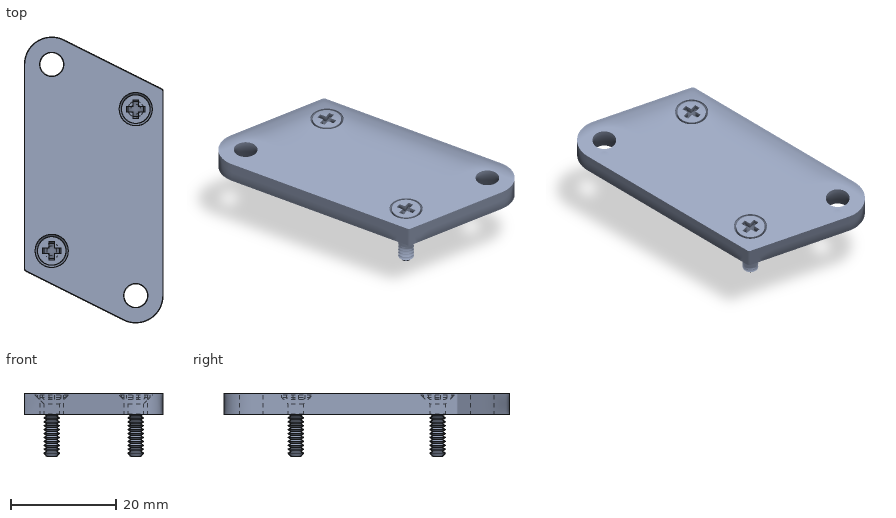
import cadquery as cq
import math

plate_length = 54.4
plate_width = 26.4
plate_thickness = 4.0
slant_slope = 0.5
corner_radius = 0.5

pattern_width = 16.0
screw_spacing = 27.0
mounting_hole_diameter = 4.5
end_radius = (plate_width - pattern_width) / 2
mounting_hole_spacing = plate_length - 2 * end_radius
mounting_points = [
    (-pattern_width / 2, mounting_hole_spacing / 2),
    (pattern_width / 2, -mounting_hole_spacing / 2),
]
screw_points = [
    (pattern_width / 2, screw_spacing / 2),
    (-pattern_width / 2, -screw_spacing / 2),
]

screw_length = 12.0
thread_diameter = 3.0
thread_radius = thread_diameter / 2
thread_root_radius = 0.9
thread_count = 10
threaded_length = 7.45
thread_pitch = threaded_length / thread_count
tip_height = 0.65

head_radius = 2.7
countersink_radius = 3.15
rim_depth = 0.3
seat_depth = rim_depth + countersink_radius - head_radius
cone_depth = rim_depth + countersink_radius - thread_radius

recess_span = 3.55
recess_arm_width = 1.05
recess_depth = 1.2
recess_end_bevel = 0.3


def make_plate_blank():
    slant = math.atan(slant_slope)
    acute_corner_y = mounting_hole_spacing / 2 + end_radius * (1 / math.cos(slant) + slant_slope)
    obtuse_corner_y = acute_corner_y - plate_width * slant_slope
    outline = [
        (-plate_width / 2, acute_corner_y),
        (plate_width / 2, obtuse_corner_y),
        (plate_width / 2, -acute_corner_y),
        (-plate_width / 2, -obtuse_corner_y),
    ]
    blank = cq.Workplane("XY").polyline(outline).close().extrude(-plate_thickness)
    blank = blank.edges("|Z and (not (<Y or >Y))").fillet(corner_radius)
    return blank.edges("|Z and (<Y or >Y)").fillet(end_radius)


def make_mounting_holes():
    hole_circles = cq.Workplane("XY").pushPoints(mounting_points).circle(mounting_hole_diameter / 2)
    return hole_circles.extrude(-plate_thickness)


def make_screw_hole():
    profile = [
        (0, 0),
        (countersink_radius, 0),
        (countersink_radius, -rim_depth),
        (thread_radius, -cone_depth),
        (thread_radius, -plate_thickness),
        (0, -plate_thickness),
    ]
    return cq.Workplane("XZ").polyline(profile).close().revolve()


def make_plate():
    body = make_plate_blank().cut(make_mounting_holes())
    for x, y in screw_points:
        body = body.cut(make_screw_hole().translate((x, y, 0)))
    return body


def make_recess():
    bevel_top = recess_end_bevel - recess_depth
    floor_half_span = recess_span / 2 - recess_end_bevel
    arm_profile = [
        (-recess_span / 2, 0),
        (recess_span / 2, 0),
        (recess_span / 2, bevel_top),
        (floor_half_span, -recess_depth),
        (-floor_half_span, -recess_depth),
        (-recess_span / 2, bevel_top),
    ]
    arm = cq.Workplane("XZ").polyline(arm_profile).close().extrude(recess_arm_width / 2, both=True)
    return arm.union(arm.rotate((0, 0, 0), (0, 0, 1), 90))


def make_screw():
    first_crest = tip_height + threaded_length - screw_length
    profile = [
        (0, 0),
        (head_radius, 0),
        (head_radius, -seat_depth),
        (thread_radius, -cone_depth),
        (thread_radius, first_crest),
    ]
    for ring in range(thread_count):
        crest = first_crest - ring * thread_pitch
        profile.append((thread_root_radius, crest - thread_pitch / 2))
        profile.append((thread_radius, crest - thread_pitch))
    profile.append((thread_root_radius, -screw_length))
    profile.append((0, -screw_length))
    body = cq.Workplane("XZ").polyline(profile).close().revolve()
    return body.cut(make_recess())


plate = make_plate()
screws = [make_screw().translate((x, y, 0)) for x, y in screw_points]

result = cq.Compound.makeCompound([plate.val(), *[screw.val() for screw in screws]])